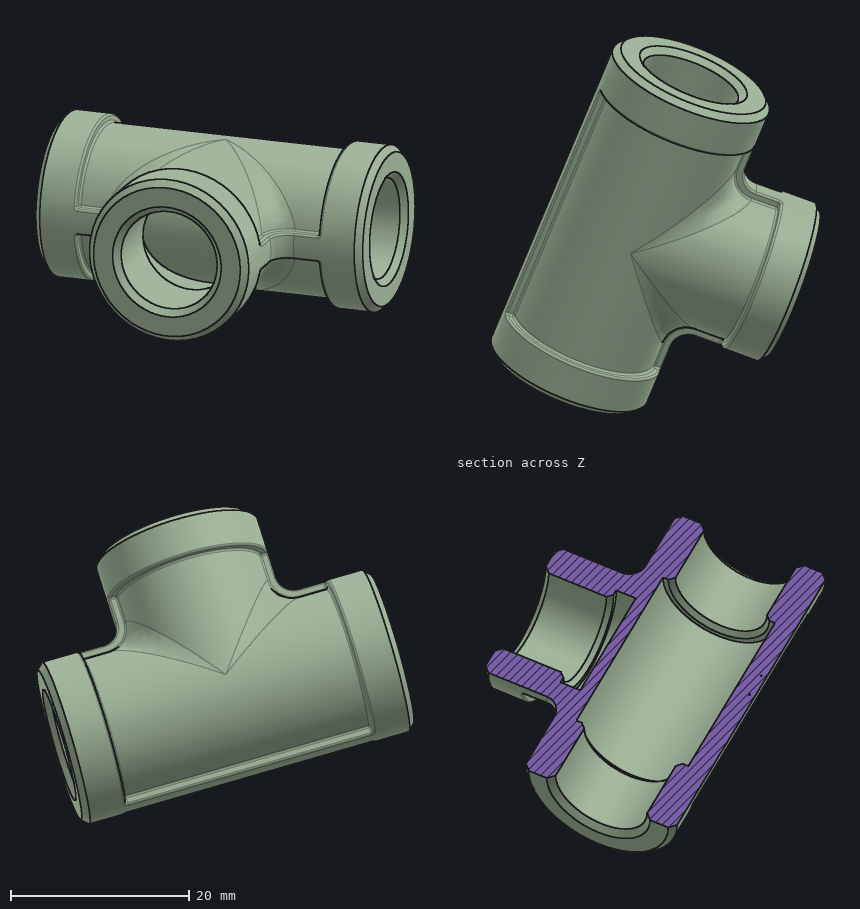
import cadquery as cq

run_length = 39.0
branch_reach = 19.5
collar_length = 5.0
collar_dia = 19.0
body_dia = 17.0
end_chamfer = 0.75

rib_width = 3.0
rib_crotch_radius = 2.0
body_crotch_radius = rib_crotch_radius + (collar_dia - body_dia) / 2
step_radius = 0.25

bore_dia = 11.45
bore_depth = 8.0
inner_chamfer = 0.6
cavity_dia = 14.0

half_run = run_length / 2
collar_face_x = half_run - collar_length
collar_face_y = branch_reach - collar_length

run_left_end = cq.Plane(origin=(-half_run, 0, 0), xDir=(0, 1, 0), normal=(1, 0, 0))
run_right_end = cq.Plane(origin=(half_run, 0, 0), xDir=(0, 1, 0), normal=(-1, 0, 0))
branch_end = cq.Plane(origin=(0, -branch_reach, 0), xDir=(1, 0, 0), normal=(0, 1, 0))


def rod(end_plane, diameter, length, start=0):
    """Cylinder that runs into the part from a given depth below an end face."""
    return cq.Workplane(end_plane).workplane(offset=start).circle(diameter / 2).extrude(length)


def tee(diameter, crotch_radius):
    """Run and branch cylinders of equal diameter with their crotch rounded."""
    cylinders = rod(run_left_end, diameter, run_length).union(rod(branch_end, diameter, branch_reach))
    crotch = [edge for edge in cylinders.edges().vals() if edge.geomType() not in ("LINE", "CIRCLE")]
    return cylinders.newObject(crotch).fillet(crotch_radius)


def rib_envelope():
    """Collar-sized run and branch, joined by an elbow on each side that rounds the rib crotch."""
    envelope = rod(run_left_end, collar_dia, run_length).union(rod(branch_end, collar_dia, branch_reach))
    bend_radius = collar_dia / 2 + rib_crotch_radius
    elbow = (
        cq.Workplane(cq.Plane(origin=(-bend_radius, 0, 0), xDir=(0, 1, 0), normal=(1, 0, 0)))
        .circle(collar_dia / 2)
        .revolve(90, (-bend_radius, 1, 0), (-bend_radius, -1, 0))
    )
    return envelope.union(elbow).union(elbow.mirror("YZ"))


def upper_pocket():
    """Material between the collars and above the ribs, down to the body surface."""
    crotch_end = collar_dia / 2 + rib_crotch_radius
    outline = (
        cq.Workplane("XY")
        .workplane(offset=rib_width / 2)
        .moveTo(-collar_face_x, collar_dia)
        .lineTo(collar_face_x, collar_dia)
        .lineTo(collar_face_x, -crotch_end)
        .lineTo(crotch_end, -crotch_end)
        .lineTo(crotch_end, -collar_face_y)
        .lineTo(-crotch_end, -collar_face_y)
        .lineTo(-crotch_end, -crotch_end)
        .lineTo(-collar_face_x, -crotch_end)
        .close()
    )
    return outline.extrude(collar_dia).cut(tee(body_dia, body_crotch_radius))


def round_steps(shell):
    """Round the top and foot of every step wall and the corners where two walls meet."""
    walls = [face for face in shell.faces("%PLANE").vals() if len(face.Edges()) > 1]
    return shell.newObject(walls).edges().fillet(step_radius)


def outer_shape():
    pocket = upper_pocket()
    shell = rib_envelope().cut(pocket).cut(pocket.mirror("XY"))
    shell = round_steps(shell)
    end_faces = [face for face in shell.faces("%PLANE").vals() if len(face.Edges()) == 1]
    return shell.newObject(end_faces).edges().chamfer(end_chamfer)


def cone(end_plane, start, start_diameter, end_diameter):
    """45-degree cone that begins at a given depth below an end face."""
    base = end_plane.origin + end_plane.zDir * start
    height = abs(end_diameter - start_diameter) / 2
    return cq.Workplane(cq.Solid.makeCone(start_diameter / 2, end_diameter / 2, height, base, end_plane.zDir))


def bore(end_plane, depth):
    """Bore with both ends chamfered, and the cavity behind it down to the given depth."""
    cavity_start = bore_depth + inner_chamfer
    mouth_cone = cone(end_plane, 0, bore_dia + 2 * end_chamfer, bore_dia)
    inner_cone = cone(end_plane, bore_depth, bore_dia, bore_dia + 2 * inner_chamfer)
    cavity = rod(end_plane, cavity_dia, depth - cavity_start, cavity_start)
    return rod(end_plane, bore_dia, cavity_start).union(mouth_cone).union(inner_cone).union(cavity)


run_bore = bore(run_left_end, half_run).union(bore(run_right_end, half_run))
branch_bore = bore(branch_end, branch_reach).cut(rod(run_left_end, body_dia, run_length))

result = outer_shape().cut(run_bore).cut(branch_bore)